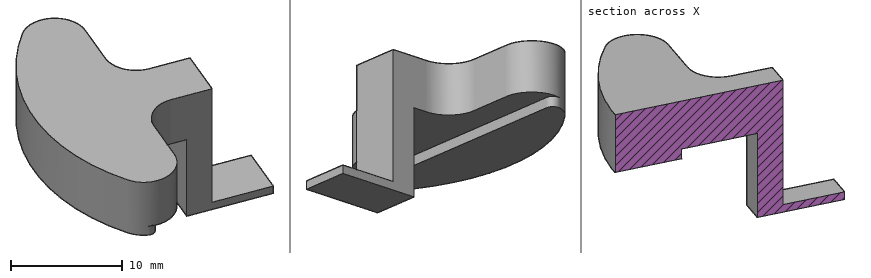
import cadquery as cq
import math

grip_width = 26.0
grip_thickness = 5.0
lobe_radius = 3.0
front_reach = 6.41
neck_radius = 3.0

stem_width = 5.0
stem_back = 10.0
leg_thickness = 2.5
foot_length = 6.0
foot_thickness = 0.83
overall_height = 13.67

lip_depth = 1.0
lip_back = 0.13
lip_corner_radius = 0.72

lobe_x = grip_width / 2 - lobe_radius
front_radius = (lobe_x**2 + front_reach**2 - lobe_radius**2) / (2 * (front_reach - lobe_radius))
front_center_y = front_radius - front_reach


def front_tangent_point():
    """Point on the right side where the front arc meets the lobe."""
    scale = front_radius / (front_radius - lobe_radius)
    return lobe_x * scale, front_center_y * (1 - scale)


def lobe_point(angle):
    """Point of the right lobe at an angle in radians from +X."""
    return lobe_x + lobe_radius * math.cos(angle), lobe_radius * math.sin(angle)


def mirrored(point):
    return -point[0], point[1]


def make_grip():
    tangent = front_tangent_point()
    lobe_side = lobe_point(0)
    lobe_top = lobe_point(math.pi / 2)
    half_stem = stem_width / 2
    neck_start = (half_stem + neck_radius, lobe_radius)
    neck_end = (half_stem, lobe_radius + neck_radius)
    neck_sag = neck_radius * (1 - math.sqrt(0.5))
    neck_middle = (half_stem + neck_sag, lobe_radius + neck_sag)
    stem_corner = (half_stem, stem_back)
    return (
        cq.Workplane("XY")
        .moveTo(*mirrored(tangent))
        .threePointArc((0, -front_reach), tangent)
        .threePointArc(lobe_side, lobe_top)
        .lineTo(*neck_start)
        .threePointArc(neck_middle, neck_end)
        .lineTo(*stem_corner)
        .lineTo(*mirrored(stem_corner))
        .lineTo(*mirrored(neck_end))
        .threePointArc(mirrored(neck_middle), mirrored(neck_start))
        .lineTo(*mirrored(lobe_top))
        .threePointArc(mirrored(lobe_side), mirrored(tangent))
        .close()
        .extrude(-grip_thickness)
    )


def make_lip():
    tangent = front_tangent_point()
    corner_y = lip_back - lip_corner_radius
    center_distance = lobe_radius - lip_corner_radius
    corner_angle = math.asin(corner_y / center_distance)
    corner_x = lobe_x + center_distance * math.cos(corner_angle)
    corner_start = lobe_point(corner_angle)
    middle_angle = (corner_angle + math.pi / 2) / 2
    corner_middle = (
        corner_x + lip_corner_radius * math.cos(middle_angle),
        corner_y + lip_corner_radius * math.sin(middle_angle),
    )
    corner_end = (corner_x, lip_back)
    tangent_angle = math.atan2(tangent[1], tangent[0] - lobe_x)
    lobe_middle = lobe_point((tangent_angle + corner_angle) / 2)
    return (
        cq.Workplane("XY")
        .workplane(offset=-grip_thickness)
        .moveTo(*mirrored(tangent))
        .threePointArc((0, -front_reach), tangent)
        .threePointArc(lobe_middle, corner_start)
        .threePointArc(corner_middle, corner_end)
        .lineTo(*mirrored(corner_end))
        .threePointArc(mirrored(corner_middle), mirrored(corner_start))
        .threePointArc(mirrored(lobe_middle), mirrored(tangent))
        .close()
        .extrude(-lip_depth)
    )


def make_leg_and_foot():
    leg_front = stem_back - leg_thickness
    foot_end = stem_back + foot_length
    foot_top = foot_thickness - overall_height
    return (
        cq.Workplane("YZ")
        .moveTo(leg_front, 0)
        .lineTo(leg_front, -overall_height)
        .lineTo(foot_end, -overall_height)
        .lineTo(foot_end, foot_top)
        .lineTo(stem_back, foot_top)
        .lineTo(stem_back, 0)
        .close()
        .extrude(stem_width / 2, both=True)
    )


result = make_grip().union(make_lip()).union(make_leg_and_foot())